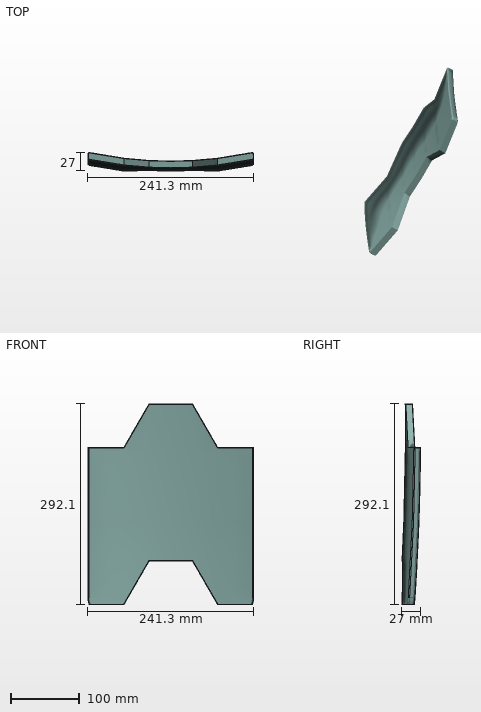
import cadquery as cq
import math

width = 241.3
height = 292.1
tab_height = 63.5
tab_tip_half_width = 31.75
tab_flank_angle = 60.0
corner_round_width = 1.8
corner_round_height = 10.0

thickness = 9.7
bow_radius_across = 581.0
bow_radius_along = 3560.0
bow_apex_drop = 41.0
side_edge_fillet = 2.0

half_width = width / 2
top = height / 2
bottom = -height / 2
shoulder = top - tab_height
notch_top = bottom + tab_height
bow_apex = top - bow_apex_drop
tab_root_half_width = tab_tip_half_width + tab_height / math.tan(math.radians(tab_flank_angle))


def make_outline_prism():
    """Extrude the tabbed and notched outline along Y, well past the depth of the bow."""
    corner_radius = (corner_round_height**2 + corner_round_width**2) / (2 * corner_round_width)
    corner_x = half_width - corner_round_width
    corner_top = bottom + corner_round_height
    return (
        cq.Workplane("XZ")
        .moveTo(-tab_tip_half_width, top)
        .lineTo(tab_tip_half_width, top)
        .lineTo(tab_root_half_width, shoulder)
        .lineTo(half_width, shoulder)
        .lineTo(half_width, corner_top)
        .radiusArc((corner_x, bottom), corner_radius)
        .lineTo(tab_root_half_width, bottom)
        .lineTo(tab_tip_half_width, notch_top)
        .lineTo(-tab_tip_half_width, notch_top)
        .lineTo(-tab_root_half_width, bottom)
        .lineTo(-corner_x, bottom)
        .radiusArc((-half_width, corner_top), corner_radius)
        .lineTo(-half_width, shoulder)
        .lineTo(-tab_root_half_width, shoulder)
        .close()
        .extrude(half_width, both=True)
    )


def make_saddle_shell():
    """Revolve the bowed cross-section about an axis parallel to X, in front of the plate."""
    margin = thickness
    reach = half_width + margin
    back_radius = bow_radius_across - thickness
    front_end_y = bow_radius_across - math.sqrt(bow_radius_across**2 - reach**2)
    back_end_y = bow_radius_across - math.sqrt(back_radius**2 - reach**2)
    axis_y = -bow_radius_along

    angle_above_apex = math.degrees(math.asin((bow_apex_drop + margin) / bow_radius_along))
    angle_below_apex = math.degrees(math.asin((bow_apex - bottom + margin) / bow_radius_along))

    section = (
        cq.Workplane("XY", origin=(0, 0, bow_apex))
        .moveTo(-reach, front_end_y)
        .threePointArc((0, 0), (reach, front_end_y))
        .lineTo(reach, back_end_y)
        .threePointArc((0, thickness), (-reach, back_end_y))
        .close()
    )
    shell = section.revolve(angle_above_apex + angle_below_apex, (0, axis_y, 0), (-1, axis_y, 0))
    return shell.rotate((0, axis_y, bow_apex), (1, axis_y, bow_apex), angle_above_apex)


def round_side_edges(plate):
    """Fillet the front and back edges of both sides, down around the rounded corners."""
    side_edges = [
        edge
        for edge in plate.edges().vals()
        if abs(edge.Center().x) > half_width - corner_round_width
        and edge.BoundingBox().zlen > corner_round_height / 2
    ]
    return plate.newObject(side_edges).fillet(side_edge_fillet)


result = round_side_edges(make_saddle_shell().intersect(make_outline_prism()))